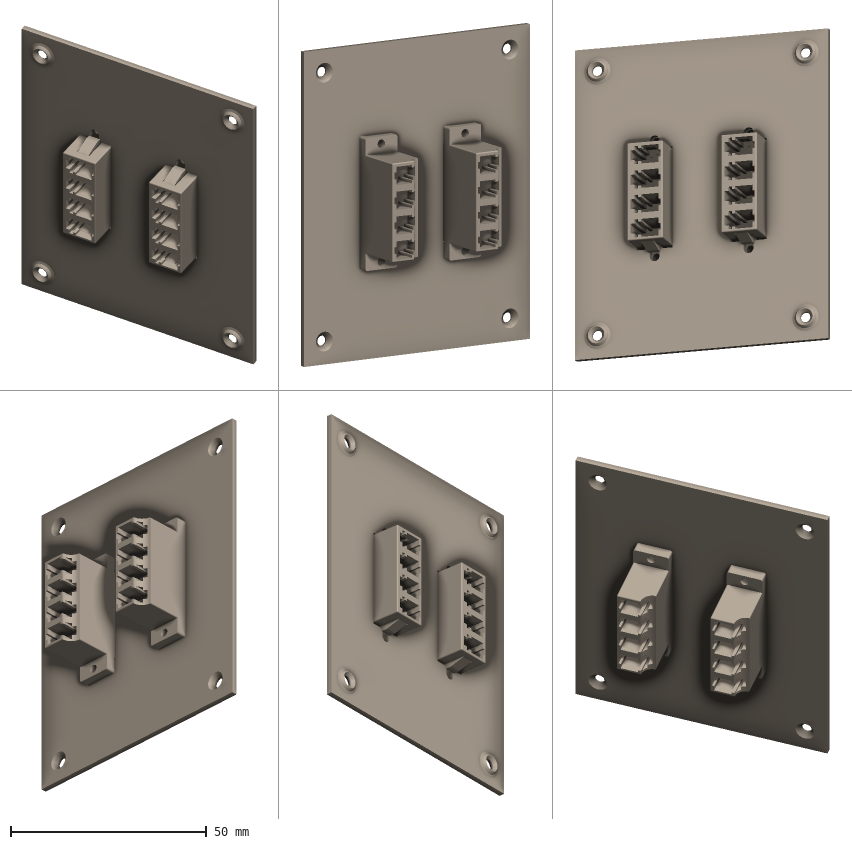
import cadquery as cq


panel_width = 68.1
panel_height = 82.0
panel_thickness = 1.55

collar_x = 28.0
collar_z = 35.0
collar_base_radius = 3.5
collar_foot_radius = 2.9
collar_foot_height = 0.25
collar_shoulder_radius = 2.55
collar_shoulder_height = 0.7
collar_crest_outer_radius = 2.3
collar_crest_inner_radius = 2.1
collar_height = 1.0
mounting_hole_radius = 1.3
front_countersink_depth = 0.8
back_countersink_radius = 2.55
back_countersink_depth = 1.2

connector_x = 12.6
body_width = 9.6
body_height = 25.85
body_front = 8.0
body_back = 17.55
body_edge_radius = 0.3
scoop_radius = 3.1

flange_height = 34.7
flange_gap = 0.1
flange_thickness = 2.9
flange_corner_radius = 0.6
ear_hole_z = 15.35
ear_hole_diameter = 2.2
panel_slot_width = 2.6
panel_cutout_height = 26.75

pocket_count = 4
pocket_pitch = 6.5
pocket_row_z = -0.12
front_pocket_depth = 9.85
back_pocket_depth = 6.6
pocket_tab_x = -3.85
pocket_wing_x = -2.8
pocket_neck_start_x = -1.8
pocket_neck_end_x = -1.0
pocket_right_x = 3.7
pocket_groove_x = 4.3
pocket_half_height = 2.4
pocket_neck_half_height = 1.7
pocket_tab_half_height = 1.3
pocket_groove_half_height = 0.9
wire_hole_x = 2.05
wire_hole_diameter = 2.6

latch_width = 3.2
latch_window_width = 3.7
latch_rise = 1.3
latch_length = 5.9
latch_flat_length = 1.6
latch_bend_radius = 2.0
latch_root_thickness = 0.5

mirror_signs = (-1, 1)
pocket_centers = [pocket_row_z + (i - (pocket_count - 1) / 2) * pocket_pitch for i in range(pocket_count)]
window_inner_z = pocket_centers[-1] + pocket_neck_half_height
flange_front = panel_thickness + flange_gap
flange_back = flange_front + flange_thickness


def block(width, front_y, back_y, height):
    """Box centred on X and Z that runs between two Y positions."""
    box = cq.Workplane("XY").box(width, back_y - front_y, height)
    return box.translate((0, (front_y + back_y) / 2, 0))


def rod(x, z, diameter, front_y, back_y):
    """Cylinder along Y between two Y positions."""
    plane = cq.Workplane("XZ", origin=(x, back_y, z))
    return plane.circle(diameter / 2).extrude(back_y - front_y)


def connector_trunk():
    """Long rounded body of the connector without its openings."""
    return block(body_width, -body_front, body_back, body_height).edges().fillet(body_edge_radius)


def mounting_collar(x, z):
    """Solid ring on the panel front with a sloping foot and a rounded shoulder."""
    shoulder = (collar_shoulder_radius, -collar_shoulder_height)
    crest = (collar_crest_outer_radius, -collar_height)
    profile = (
        cq.Workplane("XY")
        .moveTo(0, 0)
        .lineTo(collar_base_radius, 0)
        .lineTo(collar_foot_radius, -collar_foot_height)
        .threePointArc(shoulder, crest)
        .lineTo(0, -collar_height)
        .close()
    )
    return profile.revolve(360, (0, 0, 0), (0, 1, 0)).translate((x, 0, z))


def mounting_hole(x, z):
    """Through hole, countersunk from the collar crest and from the panel back."""
    profile = (
        cq.Workplane("XY")
        .moveTo(0, -collar_height)
        .lineTo(collar_crest_inner_radius, -collar_height)
        .lineTo(mounting_hole_radius, front_countersink_depth - collar_height)
        .lineTo(mounting_hole_radius, panel_thickness - back_countersink_depth)
        .lineTo(back_countersink_radius, panel_thickness)
        .lineTo(0, panel_thickness)
        .close()
    )
    return profile.revolve(360, (0, 0, 0), (0, 1, 0)).translate((x, 0, z))


def connector_cutout():
    """Panel opening for the body, with a round-ended slot end over each ear hole."""
    opening = block(body_width, 0, panel_thickness, panel_cutout_height)
    slot_length = 2 * ear_hole_z + panel_slot_width
    slot = (
        cq.Workplane("XZ", origin=(0, panel_thickness, 0))
        .slot2D(slot_length, panel_slot_width, 90)
        .extrude(panel_thickness)
    )
    return opening.union(slot)


def make_panel():
    """Flat panel with four countersunk collars and two connector openings."""
    panel = block(panel_width, 0, panel_thickness, panel_height)
    for x_sign in mirror_signs:
        for z_sign in mirror_signs:
            x = x_sign * collar_x
            z = z_sign * collar_z
            panel = panel.union(mounting_collar(x, z))
            panel = panel.cut(mounting_hole(x, z))
        panel = panel.cut(connector_cutout().translate((x_sign * connector_x, 0, 0)))
    return panel


def make_flange():
    """Rectangular flange that stops the body behind the panel."""
    flange = block(body_width, flange_front, flange_back, flange_height)
    return flange.edges("|Y").fillet(flange_corner_radius)


def latch_window():
    """Opening from the top pocket up through the body wall, which leaves the latch free to flex."""
    height = body_height / 2 - window_inner_z
    window = block(latch_window_width, -latch_length, flange_front, height)
    return window.translate((0, 0, window_inner_z + height / 2))


def latch():
    """Upper latch: it slopes up from its root at the front to a flat that ends at the panel."""
    root_z = body_height / 2
    top_z = root_z + latch_rise
    return (
        cq.Workplane("YZ", origin=(-latch_width / 2, 0, 0))
        .moveTo(-latch_length, root_z)
        .lineTo(-latch_flat_length, top_z)
        .lineTo(0, top_z)
        .lineTo(0, root_z)
        .lineTo(-latch_length, root_z - latch_root_thickness)
        .close()
        .extrude(latch_width)
        .edges(cq.selectors.NearestToPointSelector((0, -latch_flat_length, top_z)))
        .fillet(latch_bend_radius)
    )


def pocket(z, front_y, back_y):
    """Keyed contact pocket along Y, symmetric about its own centre height."""
    upper_half = [
        (pocket_tab_x, pocket_tab_half_height),
        (pocket_wing_x, pocket_tab_half_height),
        (pocket_wing_x, pocket_half_height),
        (pocket_neck_start_x, pocket_half_height),
        (pocket_neck_start_x, pocket_neck_half_height),
        (pocket_neck_end_x, pocket_neck_half_height),
        (pocket_neck_end_x, pocket_half_height),
        (pocket_right_x, pocket_half_height),
        (pocket_right_x, pocket_groove_half_height),
        (pocket_groove_x, pocket_groove_half_height),
    ]
    lower_half = [(x, -half_height) for x, half_height in reversed(upper_half)]
    plane = cq.Workplane("XZ", origin=(0, back_y, z))
    return plane.polyline(upper_half + lower_half).close().extrude(back_y - front_y)


def scoop():
    """Concave round along the back left edge of the body."""
    plane = cq.Workplane("XY", origin=(-body_width / 2, body_back, -body_height / 2))
    return plane.circle(scoop_radius).extrude(body_height)


def make_connector(x):
    """One connector: body, flange, latches and contact pockets."""
    connector = connector_trunk().union(make_flange()).cut(scoop())
    for z in pocket_centers:
        connector = connector.cut(pocket(z, -body_front, front_pocket_depth - body_front))
        connector = connector.cut(pocket(z, body_back - back_pocket_depth, body_back))
        connector = connector.cut(rod(wire_hole_x, z, wire_hole_diameter, -body_front, body_back))
    connector = connector.cut(latch_window()).cut(latch_window().mirror("XY"))
    connector = connector.union(latch()).union(latch().mirror("XY"))
    for z_sign in mirror_signs:
        connector = connector.cut(rod(0, z_sign * ear_hole_z, ear_hole_diameter, flange_front, flange_back))
    return connector.translate((x, 0, 0))


panel = make_panel()
connectors = [make_connector(x_sign * connector_x) for x_sign in mirror_signs]

result = cq.Compound.makeCompound([panel.val(), *[connector.val() for connector in connectors]])